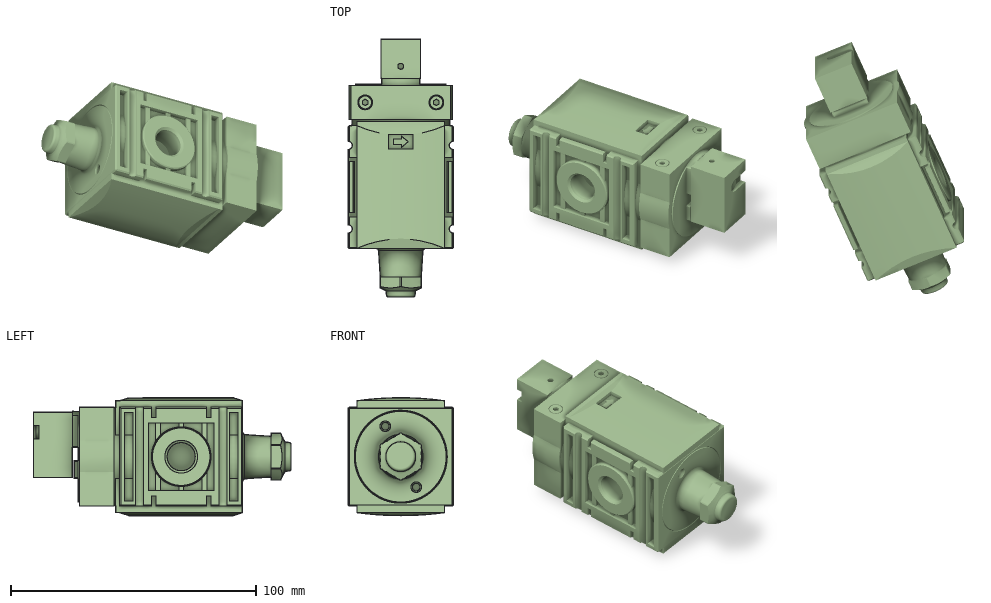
import cadquery as cq
import math

OVERALL_LENGTH = 105.2

FRAME_WIDTH = 43.0
FRAME_HEIGHT = 40.4
FRAME_LENGTH = 50.2
FRAME_CHAMFER = 0.5
MID_Y = FRAME_LENGTH / 2

SLEEVE_WIDTH = 35.9
SLEEVE_EDGE_HEIGHT = 45.7
SLEEVE_HEIGHT = 48.2
SLEEVE_FRONT_Y = 0.1
SLEEVE_REAR_Y = 51.9
DOME_RUNOUT = 3.9

CORE_DIAMETER = 40.0
CORE_FRONT_Y = 1.0

STRAP_GROOVE_RADIUS = 1.7
STRAP_GROOVE_OFFSET = 17.0
POCKET_HEIGHT = 36.0
POCKET_LENGTH = 3.5
POCKET_OFFSET = 21.4
WINDOW_LENGTH = 26.7
WINDOW_HEIGHT = 27.6
WINDOW_DEPTH = 2.4
RIB_WIDTH = 2.0
RIB_OFFSET = 9.5
RIB_RECESS = 0.9
EDGE_SLOT_WIDTH = 1.8
EDGE_SLOT_OFFSET = 11.3
EDGE_SLOT_DEPTH = 4.2
EDGE_WALL_THICKNESS = 2.0
EDGE_WALL_DRAFT = 0.6

PORT_COLLAR_DIAMETER = 24.3
PORT_COLLAR_FACE_DIAMETER = 23.5
PORT_BORE_DIAMETER = 11.5
PORT_MOUTH_DIAMETER = 13.4
PORT_DEPTH = 10.5

PLATE_GROOVE_OUTER_DIAMETER = 38.0
PLATE_GROOVE_INNER_DIAMETER = 37.0
PLATE_GROOVE_DEPTH = 0.5
PIN_HOLE_DIAMETER = 3.2
PIN_HOLE_MOUTH_DIAMETER = 4.3
PIN_HOLE_DEPTH = 3.2
PIN_HOLE_X = 6.3
PIN_HOLE_Z = 12.4

NOSE_LENGTH = 19.8
NOSE_FLARE_DIAMETER = 20.8
NOSE_ROOT_DIAMETER = 18.2
NOSE_FLARE_LENGTH = 0.7
NOSE_ROOT_DEPTH = 3.2
NOSE_END_DIAMETER = 16.8
NUT_START = 11.6
NUT_CONE_START = 15.5
NUT_FLATS = 16.8
NUT_CORNERS = 19.1
NUT_CONE_END = 16.7
NUT_CONE_DIAMETER = 13.9
SCREW_START = 17.3
SCREW_DIAMETER = 12.2
SCREW_TIP_DIAMETER = 11.5
SCREW_TIP_RADIUS = 0.9

MARK_WIDTH = 9.9
MARK_FRONT_Y = 40.7
MARK_REAR_Y = 46.5
MARK_FLOOR_Z = 22.0
ARROW_TAIL_X = -3.0
ARROW_NECK_X = 0.2
ARROW_TIP_X = 3.0
ARROW_SHAFT_WIDTH = 2.2
ARROW_HEAD_WIDTH = 4.6
ARROW_HEIGHT = 0.5

HEAD_SIZE = 40.4
HEAD_FRONT_Y = 52.6
HEAD_LENGTH = 14.0
HEAD_REAR_Y = HEAD_FRONT_Y + HEAD_LENGTH
HEAD_BULGE_DIAMETER = 42.4
HEAD_SCREW_X = 14.5
HEAD_SCREW_Y = 59.6
HEAD_SCREW_HOLE_DIAMETER = 6.0
HEAD_SCREW_DIAMETER = 5.3
HEAD_SCREW_GAP_DEPTH = 0.6
HEX_SOCKET_CORNERS = 2.6
HEX_SOCKET_DEPTH = 1.6

DISK_DIAMETER = 37.0
DISK_REAR_Y = 67.1
SEAT_WIDTH = 15.7
SEAT_BOTTOM_Z = 3.8
SEAT_CHAMFER = 0.4
SEAT_LIP = 0.1
SEAT_LIP_LENGTH = 0.6
SPACER_BOTTOM_Z = -8.9
SPACER_TOP_Z = -1.6
SPACER_LENGTH = 1.7

SOLENOID_WIDTH = 16.3
SOLENOID_LENGTH = 16.0
SOLENOID_TOP_Z = 18.2
SOLENOID_BOTTOM_Z = -8.5
SOLENOID_REAR_Y = OVERALL_LENGTH - NOSE_LENGTH
SOLENOID_FRONT_Y = SOLENOID_REAR_Y - SOLENOID_LENGTH
VENT_DIAMETER = 2.4
VENT_OFFSET = 4.9
VENT_DEPTH = 2.1
RECESS_Z = 10.0
RECESS_WIDTH = 5.5
RECESS_DEPTH = 2.3
BOSS_DIAMETER = 5.3
BOSS_HEIGHT = 1.3


def block(x_range, y_range, z_range):
    """Box between the given lower and upper limits on each axis."""
    lows = (x_range[0], y_range[0], z_range[0])
    spans = (x_range[1] - x_range[0], y_range[1] - y_range[0], z_range[1] - z_range[0])
    return cq.Workplane("XY").box(*spans, centered=False).translate(lows)


def centered(size):
    """Limits of a size that is centred on zero."""
    return (-size / 2, size / 2)


def rod(diameter, y_range):
    """Cylinder along the Y axis between two Y positions."""
    return cq.Workplane("XZ", origin=(0, y_range[0], 0)).circle(diameter / 2).extrude(y_range[0] - y_range[1])


def turned(points):
    """Body turned about the Y axis from (radius, y) points, closed along the axis."""
    return cq.Workplane("XY").polyline(points).close().revolve(360, (0, 0), (0, 1))


def on_both_sides(shape):
    """The shape on the -X side together with its mirror image on the +X side."""
    return shape.union(shape.mirror("YZ"))


def frame_blank():
    """Frame block with its outer edges broken, except along the top and bottom of its rear."""
    blank = block(centered(FRAME_WIDTH), (0, FRAME_LENGTH), centered(FRAME_HEIGHT))
    return blank.edges("not(|X and >Y)").chamfer(FRAME_CHAMFER)


def strap_grooves():
    """Round vertical grooves near the ends of both side faces."""
    face_x = FRAME_WIDTH / 2
    groove_ys = (MID_Y - STRAP_GROOVE_OFFSET, MID_Y + STRAP_GROOVE_OFFSET)
    places = [(x, y) for x in (-face_x, face_x) for y in groove_ys]
    tool = cq.Workplane("XY").pushPoints(places).circle(STRAP_GROOVE_RADIUS)
    return tool.extrude(FRAME_HEIGHT / 2, both=True)


def end_pockets():
    """Tall pockets at both ends of each side face, down to the sleeve."""
    tool = cq.Workplane("XY").pushPoints([(0, MID_Y - POCKET_OFFSET), (0, MID_Y + POCKET_OFFSET)])
    return tool.rect(FRAME_WIDTH, POCKET_LENGTH).extrude(POCKET_HEIGHT / 2, both=True)


def edge_recesses():
    """Slots in the upper and lower long edges, joined by a gap beside the sleeve."""
    half_height = FRAME_HEIGHT / 2
    floor_z = half_height - EDGE_SLOT_DEPTH
    tools = cq.Workplane("XY")
    for end in (-1, 1):
        slot_y = MID_Y + end * EDGE_SLOT_OFFSET
        slot_limits = (slot_y - EDGE_SLOT_WIDTH / 2, slot_y + EDGE_SLOT_WIDTH / 2)
        tools = tools.union(block(centered(FRAME_WIDTH), slot_limits, (floor_z, half_height)))
    gap_half_width = FRAME_WIDTH / 2 - EDGE_WALL_THICKNESS
    gap_profile = [
        (-gap_half_width, half_height),
        (gap_half_width, half_height),
        (gap_half_width - EDGE_WALL_DRAFT, floor_z),
        (-gap_half_width + EDGE_WALL_DRAFT, floor_z),
    ]
    gap = cq.Workplane("XZ", origin=(0, MID_Y, 0)).polyline(gap_profile).close()
    tools = tools.union(gap.extrude(EDGE_SLOT_OFFSET + EDGE_SLOT_WIDTH / 2, both=True))
    return tools.union(tools.mirror("XY"))


def port_windows():
    """Rectangular windows around the ports, with the ribs and the collar left standing."""
    face_x = -FRAME_WIDTH / 2
    floor_x = face_x + WINDOW_DEPTH
    window_y = (MID_Y - WINDOW_LENGTH / 2, MID_Y + WINDOW_LENGTH / 2)
    window = block((face_x, floor_x), window_y, centered(WINDOW_HEIGHT))
    for offset in (-RIB_OFFSET, 0, RIB_OFFSET):
        rib_y = MID_Y + offset
        rib_limits = (rib_y - RIB_WIDTH / 2, rib_y + RIB_WIDTH / 2)
        window = window.cut(block((face_x + RIB_RECESS, floor_x), rib_limits, centered(WINDOW_HEIGHT)))
    collar = cq.Workplane("YZ", origin=(face_x, MID_Y, 0)).circle(PORT_COLLAR_DIAMETER / 2)
    collar = collar.extrude(WINDOW_DEPTH)
    collar_chamfer = (PORT_COLLAR_DIAMETER - PORT_COLLAR_FACE_DIAMETER) / 2
    return on_both_sides(window.cut(collar.faces("<X").chamfer(collar_chamfer)))


def port_bores():
    """Blind bores with a chamfered mouth on both sides."""
    mouth = (PORT_MOUTH_DIAMETER - PORT_BORE_DIAMETER) / 2
    profile = [
        (0, 0),
        (PORT_MOUTH_DIAMETER / 2, 0),
        (PORT_BORE_DIAMETER / 2, mouth),
        (PORT_BORE_DIAMETER / 2, PORT_DEPTH),
        (0, PORT_DEPTH),
    ]
    bore = turned(profile).rotate((0, 0, 0), (0, 0, 1), -90)
    return on_both_sides(bore.translate((-FRAME_WIDTH / 2, MID_Y, 0)))


def frame():
    """Frame with all side face details except the ports' bores."""
    body = frame_blank().cut(strap_grooves()).cut(end_pockets())
    return body.cut(edge_recesses()).cut(port_windows())


def sleeve():
    """Sleeve with a shallow arched top and bottom that slopes down at both ends."""
    half_width = SLEEVE_WIDTH / 2
    edge_z = SLEEVE_EDGE_HEIGHT / 2
    crown_z = SLEEVE_HEIGHT / 2
    arched = (
        cq.Workplane("XZ", origin=(0, SLEEVE_FRONT_Y, 0))
        .moveTo(-half_width, -edge_z)
        .threePointArc((0, -crown_z), (half_width, -edge_z))
        .lineTo(half_width, edge_z)
        .threePointArc((0, crown_z), (-half_width, edge_z))
        .close()
        .extrude(SLEEVE_FRONT_Y - SLEEVE_REAR_Y)
    )
    side_profile = [
        (SLEEVE_FRONT_Y, edge_z),
        (SLEEVE_FRONT_Y + DOME_RUNOUT, crown_z),
        (FRAME_LENGTH - DOME_RUNOUT, crown_z),
        (FRAME_LENGTH, edge_z),
        (SLEEVE_REAR_Y, edge_z),
    ]
    lower_profile = [(y, -z) for y, z in reversed(side_profile)]
    side_limit = cq.Workplane("YZ").polyline(side_profile + lower_profile).close()
    return arched.intersect(side_limit.extrude(half_width, both=True))


def flow_mark_recess():
    """Recess in the sleeve's top that leaves a raised flow arrow on its floor."""
    mark_z = (MARK_FLOOR_Z, SLEEVE_HEIGHT / 2)
    recess = block(centered(MARK_WIDTH), (MARK_FRONT_Y, MARK_REAR_Y), mark_z)
    upper_outline = [
        (ARROW_TAIL_X, ARROW_SHAFT_WIDTH / 2),
        (ARROW_NECK_X, ARROW_SHAFT_WIDTH / 2),
        (ARROW_NECK_X, ARROW_HEAD_WIDTH / 2),
        (ARROW_TIP_X, 0),
    ]
    lower_outline = [(x, -y) for x, y in reversed(upper_outline[:-1])]
    mark_center = (0, (MARK_FRONT_Y + MARK_REAR_Y) / 2, MARK_FLOOR_Z)
    arrow = cq.Workplane("XY", origin=mark_center).polyline(upper_outline + lower_outline).close()
    return recess.cut(arrow.extrude(ARROW_HEIGHT))


def core():
    """Round core, leaving the window zone of the frame free."""
    pocket_end = MID_Y - POCKET_OFFSET + POCKET_LENGTH / 2
    front = rod(CORE_DIAMETER, (CORE_FRONT_Y, pocket_end))
    rear = rod(CORE_DIAMETER, (FRAME_LENGTH - pocket_end, HEAD_FRONT_Y))
    return front.union(rear)


def plate_groove():
    """Shallow V-shaped ring groove around the front plate."""
    outer_r = PLATE_GROOVE_OUTER_DIAMETER / 2
    inner_r = PLATE_GROOVE_INNER_DIAMETER / 2
    return turned([(inner_r, 0), (outer_r, 0), ((inner_r + outer_r) / 2, PLATE_GROOVE_DEPTH)])


def pin_holes():
    """Two chamfered blind holes, diagonally opposite in the front plate."""
    mouth = (PIN_HOLE_MOUTH_DIAMETER - PIN_HOLE_DIAMETER) / 2
    profile = [
        (0, 0),
        (PIN_HOLE_MOUTH_DIAMETER / 2, 0),
        (PIN_HOLE_DIAMETER / 2, mouth),
        (PIN_HOLE_DIAMETER / 2, PIN_HOLE_DEPTH),
        (0, PIN_HOLE_DEPTH),
    ]
    hole = turned(profile)
    upper = hole.translate((-PIN_HOLE_X, 0, PIN_HOLE_Z))
    return upper.union(hole.translate((PIN_HOLE_X, 0, -PIN_HOLE_Z)))


def nose():
    """Tapered nose with a root set into the front plate, a lock nut and the end of the adjusting screw."""
    flare_r = NOSE_FLARE_DIAMETER / 2
    root_r = NOSE_ROOT_DIAMETER / 2
    arc_rise = 1 - math.sqrt(0.5)
    flare_mid = (root_r + (flare_r - root_r) * arc_rise, -NOSE_FLARE_LENGTH * arc_rise)
    taper = (
        cq.Workplane("XY")
        .moveTo(0, NOSE_ROOT_DEPTH)
        .lineTo(flare_r, NOSE_ROOT_DEPTH)
        .lineTo(flare_r, 0)
        .threePointArc(flare_mid, (root_r, -NOSE_FLARE_LENGTH))
        .lineTo(NOSE_END_DIAMETER / 2, -NUT_START)
        .lineTo(0, -NUT_START)
        .close()
        .revolve(360, (0, 0), (0, 1))
    )
    hexagon = (
        cq.Workplane("XZ", origin=(0, -NUT_START, 0))
        .transformed(rotate=(0, 0, 90))
        .polygon(6, NUT_FLATS / math.cos(math.pi / 6))
        .extrude(NUT_CONE_END - NUT_START)
    )
    nut_limit = turned([
        (0, -NUT_START),
        (NUT_CORNERS / 2, -NUT_START),
        (NUT_CORNERS / 2, -NUT_CONE_START),
        (NUT_CONE_DIAMETER / 2, -NUT_CONE_END),
        (0, -NUT_CONE_END),
    ])
    nut = hexagon.intersect(nut_limit)
    tip = turned([
        (0, -NUT_CONE_END),
        (NUT_CONE_DIAMETER / 2, -NUT_CONE_END),
        (SCREW_DIAMETER / 2, -SCREW_START),
        (SCREW_TIP_DIAMETER / 2, -NOSE_LENGTH),
        (0, -NOSE_LENGTH),
    ])
    tip = tip.faces("<Y").edges().fillet(SCREW_TIP_RADIUS)
    return taper.union(nut).union(tip)


def head_screw_gaps():
    """Ring gaps and hexagon sockets of the two screws in the head's top."""
    places = [(-HEAD_SCREW_X, HEAD_SCREW_Y), (HEAD_SCREW_X, HEAD_SCREW_Y)]
    top = cq.Workplane("XY", origin=(0, 0, HEAD_SIZE / 2)).pushPoints(places)
    hole = top.circle(HEAD_SCREW_HOLE_DIAMETER / 2).extrude(-HEAD_SCREW_GAP_DEPTH)
    gaps = hole.cut(top.circle(HEAD_SCREW_DIAMETER / 2).extrude(-HEAD_SCREW_GAP_DEPTH))
    socket = cq.Workplane("XY").polygon(6, HEX_SOCKET_CORNERS).extrude(-HEX_SOCKET_DEPTH)
    socket = socket.rotate((0, 0, 0), (0, 0, 1), 90)
    for x, y in places:
        gaps = gaps.union(socket.translate((x, y, HEAD_SIZE / 2)))
    return gaps


def head():
    """Square head with bulged sides and a round disk on its rear."""
    head_y = (HEAD_FRONT_Y, HEAD_REAR_Y)
    body = block(centered(HEAD_SIZE), head_y, centered(HEAD_SIZE))
    bulge = rod(HEAD_BULGE_DIAMETER, head_y)
    bulge = bulge.intersect(block(centered(HEAD_BULGE_DIAMETER), head_y, centered(HEAD_SIZE)))
    disk = rod(DISK_DIAMETER, (HEAD_REAR_Y, DISK_REAR_Y))
    return body.union(bulge).cut(head_screw_gaps()).union(disk)


def solenoid_seat():
    """Seat whose arched top follows the disk and flares into a lip at the solenoid."""
    disk_r = DISK_DIAMETER / 2
    lip_r = disk_r + SEAT_LIP
    arch = turned([
        (0, DISK_REAR_Y),
        (disk_r, DISK_REAR_Y),
        (disk_r, SOLENOID_FRONT_Y - SEAT_LIP_LENGTH),
        (lip_r, SOLENOID_FRONT_Y),
        (0, SOLENOID_FRONT_Y),
    ])
    limits = block(centered(SEAT_WIDTH), (DISK_REAR_Y, SOLENOID_FRONT_Y), (SEAT_BOTTOM_Z, lip_r))
    return arch.intersect(limits.edges("|Y and <Z").chamfer(SEAT_CHAMFER))


def spacer():
    """Low spacer on the disk, just clear of the solenoid."""
    spacer_y = (DISK_REAR_Y, DISK_REAR_Y + SPACER_LENGTH)
    body = block(centered(SEAT_WIDTH), spacer_y, (SPACER_BOTTOM_Z, SPACER_TOP_Z))
    return body.edges("|Y").chamfer(SEAT_CHAMFER)


def make_housing():
    """Valve housing: frame, sleeve, nose, head and the solenoid's seat in one solid."""
    body = frame().union(core()).union(sleeve())
    body = body.cut(port_bores()).cut(flow_mark_recess()).cut(plate_groove()).cut(pin_holes())
    return body.union(nose()).union(head()).union(solenoid_seat()).union(spacer())


def make_solenoid():
    """Solenoid block with a vent hole and a side-opening recess around a round boss."""
    body = block(
        centered(SOLENOID_WIDTH),
        (SOLENOID_FRONT_Y, SOLENOID_REAR_Y),
        (SOLENOID_BOTTOM_Z, SOLENOID_TOP_Z),
    )
    vent_place = (0, SOLENOID_FRONT_Y + VENT_OFFSET, SOLENOID_TOP_Z)
    vent = cq.Workplane("XY", origin=vent_place).circle(VENT_DIAMETER / 2).extrude(-VENT_DEPTH)
    floor_y = SOLENOID_REAR_Y - RECESS_DEPTH
    recess_z = (RECESS_Z - RECESS_WIDTH / 2, RECESS_Z + RECESS_WIDTH / 2)
    recess = block((-SOLENOID_WIDTH / 2, 0), (floor_y, SOLENOID_REAR_Y), recess_z)
    recess = recess.union(rod(RECESS_WIDTH, (floor_y, SOLENOID_REAR_Y)).translate((0, 0, RECESS_Z)))
    boss = rod(BOSS_DIAMETER, (floor_y, floor_y + BOSS_HEIGHT)).translate((0, 0, RECESS_Z))
    return body.cut(vent).cut(recess).union(boss)


housing = make_housing()
solenoid = make_solenoid()
result = cq.Compound.makeCompound([housing.solids().val(), solenoid.solids().val()])